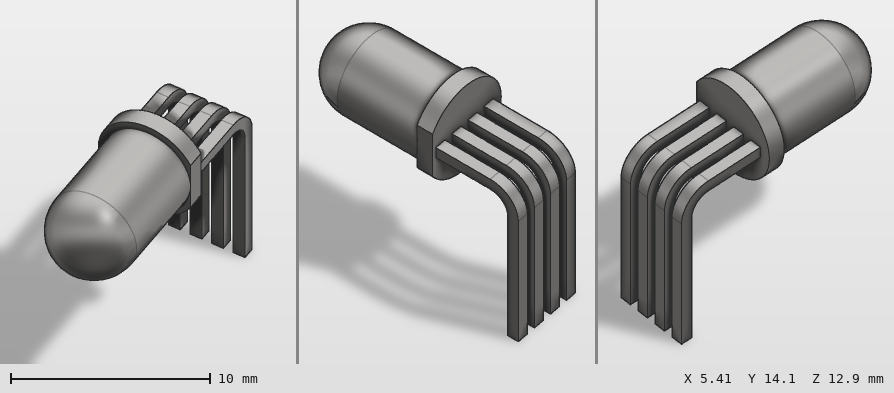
import cadquery as cq

total_length = 14.05
total_height = 12.9
lens_diameter = 5.0
flange_radius = 2.91
flange_thickness = 1.01
body_length = 8.7
lead_size = 0.7
lead_pitch = 1.26
lead_count = 4
bend_outer_radius = 1.83

lens_radius = lens_diameter / 2
dome_start = body_length - lens_radius
lead_back = total_length - body_length
lead_bottom = flange_radius - total_height
lead_top = lead_size / 2
bend_inner_radius = bend_outer_radius - lead_size


def make_lens():
    """Cylinder ending in a hemispherical dome."""
    barrel = cq.Workplane("XZ").circle(lens_radius).extrude(dome_start)
    dome = cq.Workplane("XY").sphere(lens_radius).translate((0, -dome_start, 0))
    return barrel.union(dome)


def make_flange():
    """Rim disc with a flat on +X, tangent to the lens."""
    disc = cq.Workplane("XZ").circle(flange_radius).extrude(flange_thickness)
    flat_cutter = cq.Workplane("XY").box(
        flange_radius, 2 * flange_thickness, 2 * flange_radius, centered=(False, True, True)
    )
    return disc.cut(flat_cutter.translate((lens_radius, -flange_thickness / 2, 0)))


def make_lead(x):
    """Square lead leaving the flange backwards and bending down."""
    lead = (
        cq.Workplane("YZ")
        .moveTo(0, lead_top)
        .lineTo(lead_back - bend_outer_radius, lead_top)
        .radiusArc((lead_back, lead_top - bend_outer_radius), bend_outer_radius)
        .lineTo(lead_back, lead_bottom)
        .lineTo(lead_back - lead_size, lead_bottom)
        .lineTo(lead_back - lead_size, lead_top - bend_outer_radius)
        .radiusArc((lead_back - bend_outer_radius, lead_top - lead_size), -bend_inner_radius)
        .lineTo(0, lead_top - lead_size)
        .close()
        .extrude(lead_size / 2, both=True)
    )
    return lead.translate((x, 0, 0))


result = make_lens().union(make_flange())
for index in range(lead_count):
    lead_x = (index - (lead_count - 1) / 2) * lead_pitch
    result = result.union(make_lead(lead_x))